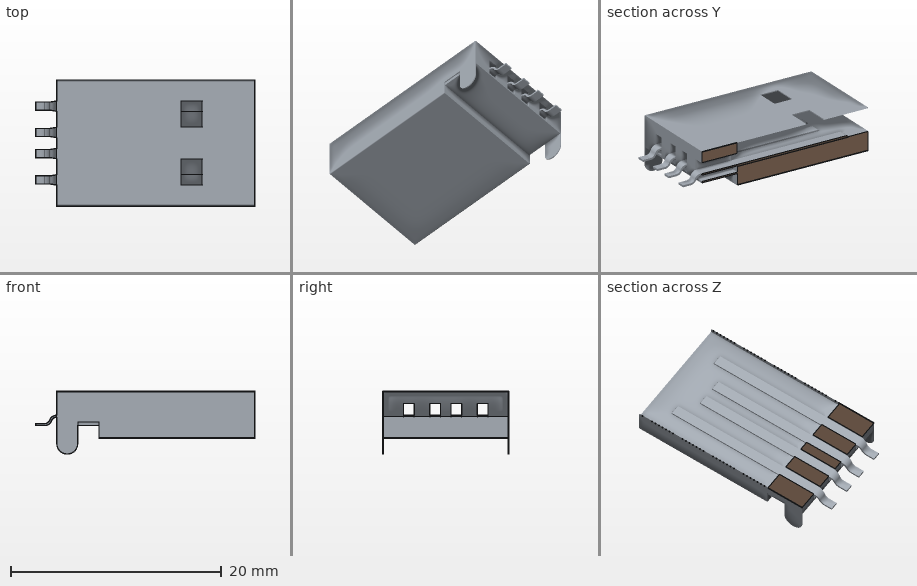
import cadquery as cq
import math


shell_length = 18.8
shell_width = 12.0
shell_height = 4.5
sheet = 0.1
corner_radius = 0.1
seat_height = 3.3
shell_bottom = seat_height - shell_height
notch_length = 4.0
notch_depth = 2.95
wall_edge = seat_height - notch_depth

overall_height = 6.0
tab_width = 2.0
tab_radius = tab_width / 2
tab_bottom = seat_height - overall_height

window_length = 2.0
window_width = 2.5
window_front_gap = 5.0
window_center_y = 2.75
window_end = shell_length - window_front_gap

contact_thickness = 0.2
foot_width = 0.8
blade_width = 1.0
foot_reach = 2.0
bend_run = 1.15
taper_start = -0.6
blade_top = 1.0
tip_radius = contact_thickness
blade_bottom = blade_top - contact_thickness
outer_contact_y = 3.5
inner_contact_y = 1.0
outer_contact_end = 16.5
inner_contact_end = 14.95

blade_rise = 0.15
tongue_top = blade_top - blade_rise
slot_top_depth = 1.2
slot_top = seat_height - slot_top_depth
slot_floor = contact_thickness
slot_width = blade_width
inner_width = shell_width - 2 * sheet
inner_top = seat_height - sheet
inner_bottom = shell_bottom + sheet

contacts_layout = [
    (outer_contact_y, outer_contact_end),
    (inner_contact_y, inner_contact_end),
    (-inner_contact_y, inner_contact_end),
    (-outer_contact_y, outer_contact_end),
]


def box(x_min, x_max, y_center, width, z_min, z_max):
    """Axis-aligned block centred on y_center."""
    length = x_max - x_min
    height = z_max - z_min
    block = cq.Workplane("XY").box(length, width, height, centered=(False, True, False))
    return block.translate((x_min, y_center, z_min))


def make_tab(y_center):
    """Round-ended board tab reaching down from one side wall."""
    round_center_z = tab_bottom + tab_radius
    return (
        cq.Workplane("XZ", origin=(0, y_center + sheet / 2, 0))
        .moveTo(0, wall_edge)
        .lineTo(0, round_center_z)
        .threePointArc((tab_radius, tab_bottom), (tab_width, round_center_z))
        .lineTo(tab_width, wall_edge)
        .close()
        .extrude(sheet)
    )


def make_shell():
    """Open-ended sheet tube, notched over the board, with windows and tabs."""
    shell = box(0, shell_length, 0, shell_width, shell_bottom, seat_height)
    shell = shell.edges("|X").fillet(corner_radius)
    shell = shell.cut(box(0, shell_length, 0, inner_width, inner_bottom, inner_top))
    shell = shell.cut(box(0, notch_length, 0, shell_width, shell_bottom, wall_edge))
    tab_y = (shell_width - sheet) / 2
    for side in (-1, 1):
        shell = shell.cut(
            box(window_end - window_length, window_end, side * window_center_y,
                window_width, inner_top, seat_height)
        )
        shell = shell.union(make_tab(side * tab_y), clean=False)
    return shell


def make_insulator():
    """Rear block and tongue, with a slot and a shallow tongue groove for each contact."""
    insulator = box(0, notch_length, 0, inner_width, 0, inner_top)
    tongue = box(notch_length, shell_length, 0, inner_width, inner_bottom, tongue_top)
    insulator = insulator.union(tongue)
    for y, end in contacts_layout:
        insulator = insulator.cut(box(0, notch_length, y, slot_width, slot_floor, slot_top))
        insulator = insulator.cut(box(notch_length, end, y, slot_width, blade_bottom, tongue_top))
    return insulator


def make_contact(y_center, end):
    """Flat foot, S bend of two equal arcs and a round-tipped blade, widening in the bend."""
    bend_angle = 2 * math.atan(blade_bottom / bend_run)
    mean_radius = bend_run / (2 * math.sin(bend_angle))
    inner_radius = mean_radius - contact_thickness / 2
    outer_radius = mean_radius + contact_thickness / 2
    foot_center = (-bend_run, contact_thickness / 2 + mean_radius)
    blade_center = (0, blade_top - contact_thickness / 2 - mean_radius)

    def foot_arc(radius, angle):
        return (foot_center[0] + radius * math.sin(angle), foot_center[1] - radius * math.cos(angle))

    def blade_arc(radius, angle):
        return (blade_center[0] - radius * math.sin(angle), blade_center[1] + radius * math.cos(angle))

    half_angle = bend_angle / 2
    strip = (
        cq.Workplane("XZ", origin=(0, blade_width / 2, 0))
        .moveTo(-foot_reach, 0)
        .lineTo(-bend_run, 0)
        .threePointArc(foot_arc(outer_radius, half_angle), foot_arc(outer_radius, bend_angle))
        .threePointArc(blade_arc(inner_radius, half_angle), (0, blade_bottom))
        .lineTo(end, blade_bottom)
        .radiusArc((end - tip_radius, blade_top), -tip_radius)
        .lineTo(0, blade_top)
        .threePointArc(blade_arc(outer_radius, half_angle), blade_arc(outer_radius, bend_angle))
        .threePointArc(foot_arc(inner_radius, half_angle), (-bend_run, contact_thickness))
        .lineTo(-foot_reach, contact_thickness)
        .close()
        .extrude(blade_width)
    )
    foot_half = foot_width / 2
    blade_half = blade_width / 2
    outline = (
        cq.Workplane("XY")
        .polyline([
            (-foot_reach, -foot_half), (taper_start, -foot_half), (0, -blade_half), (end, -blade_half),
            (end, blade_half), (0, blade_half), (taper_start, foot_half), (-foot_reach, foot_half),
        ])
        .close()
        .extrude(blade_top)
    )
    return strip.intersect(outline).translate((0, y_center, 0))


shell = make_shell()
insulator = make_insulator()
contacts = [make_contact(y, end) for y, end in contacts_layout]

result = cq.Compound.makeCompound(
    [shell.val(), insulator.val(), *[contact.val() for contact in contacts]]
)